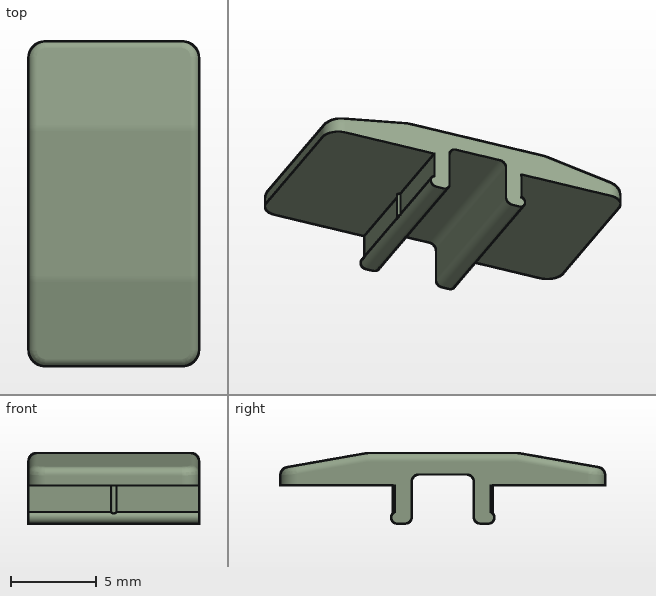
import cadquery as cq
import math

WIDTH = 10.0
LENGTH = 19.0
PLATE_HEIGHT = 1.9
LEG_DEPTH = 2.25

FOLD_Y = 4.4
SLOPE_DEGREES = 10.0
FOLD_RADIUS = 2.0
CORNER_RADIUS = 1.0
TOP_EDGE_RADIUS = 0.51

CHANNEL_HALF_WIDTH = 1.8
CHANNEL_ROOF_Z = 0.63
CHANNEL_RADIUS = 0.4
LEG_OUTER_Y = 2.8
LEG_INNER_RADIUS = 0.4

BEAD_OUTER_Y = 3.02
BEAD_RADIUS = 0.36
RIB_RADIUS = 0.17
RIB_OUTER_Y = 2.93

bead_y = BEAD_OUTER_Y - BEAD_RADIUS
bead_z = BEAD_RADIUS - LEG_DEPTH


def make_plate():
    """Plate with a flat middle, sloping ends and rounded top edges."""
    half_length = LENGTH / 2
    end_height = PLATE_HEIGHT - (half_length - FOLD_Y) * math.tan(math.radians(SLOPE_DEGREES))
    plate = (
        cq.Workplane("YZ")
        .moveTo(-half_length, 0)
        .lineTo(half_length, 0)
        .lineTo(half_length, end_height)
        .lineTo(FOLD_Y, PLATE_HEIGHT)
        .lineTo(-FOLD_Y, PLATE_HEIGHT)
        .lineTo(-half_length, end_height)
        .close()
        .extrude(WIDTH / 2, both=True)
    )
    for side in (-1, 1):
        fold = cq.selectors.NearestToPointSelector((0, side * FOLD_Y, PLATE_HEIGHT))
        plate = plate.edges(fold).fillet(FOLD_RADIUS)
    plate = plate.edges("|Z").fillet(CORNER_RADIUS)
    return plate.faces(">Z").edges("<X").fillet(TOP_EDGE_RADIUS)


def make_leg(side):
    """Leg, snap bead and rib on the given side of the channel (-1 or 1)."""
    leg = (
        cq.Workplane("YZ")
        .moveTo(side * CHANNEL_HALF_WIDTH, 0)
        .lineTo(side * LEG_OUTER_Y, 0)
        .lineTo(side * LEG_OUTER_Y, bead_z)
        .lineTo(side * bead_y, bead_z)
        .lineTo(side * bead_y, -LEG_DEPTH)
        .lineTo(side * (CHANNEL_HALF_WIDTH + LEG_INNER_RADIUS), -LEG_DEPTH)
        .radiusArc((side * CHANNEL_HALF_WIDTH, LEG_INNER_RADIUS - LEG_DEPTH), side * LEG_INNER_RADIUS)
        .close()
        .extrude(WIDTH / 2, both=True)
    )
    bead = (
        cq.Workplane("YZ")
        .center(side * bead_y, bead_z)
        .circle(BEAD_RADIUS)
        .extrude(WIDTH / 2, both=True)
    )
    rib = (
        cq.Workplane("XY")
        .center(0, side * (RIB_OUTER_Y - RIB_RADIUS))
        .circle(RIB_RADIUS)
        .extrude(bead_z)
    )
    return leg.union(bead).union(rib)


def make_channel():
    """Channel between the legs, with rounded upper corners."""
    return (
        cq.Workplane("XY")
        .box(WIDTH, 2 * CHANNEL_HALF_WIDTH, CHANNEL_ROOF_Z + LEG_DEPTH)
        .translate((0, 0, (CHANNEL_ROOF_Z - LEG_DEPTH) / 2))
        .edges("|X and >Z")
        .fillet(CHANNEL_RADIUS)
    )


result = make_plate()
for leg_side in (-1, 1):
    result = result.union(make_leg(leg_side))
result = result.cut(make_channel())